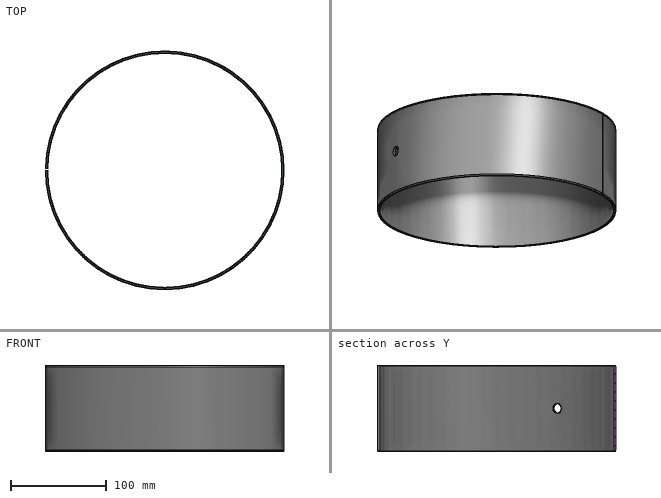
import cadquery as cq

outer_diameter = 250.0
height = 90.0
wall = 2.5
outer_chamfer_height = 1.5
outer_chamfer_depth = 0.5
inner_chamfer = 0.5

slit_width = 2.0

hole_diameter = 10.0
hole_angle = 59.0

outer_radius = outer_diameter / 2
cut_length = outer_radius + wall


def make_band():
    inner_radius = outer_radius - wall
    rim_inner_radius = inner_radius + inner_chamfer
    rim_outer_radius = outer_radius - outer_chamfer_depth
    top = height / 2
    outer_shoulder = top - outer_chamfer_height
    inner_shoulder = top - inner_chamfer
    profile = [
        (inner_radius, -inner_shoulder),
        (rim_inner_radius, -top),
        (rim_outer_radius, -top),
        (outer_radius, -outer_shoulder),
        (outer_radius, outer_shoulder),
        (rim_outer_radius, top),
        (rim_inner_radius, top),
        (inner_radius, inner_shoulder),
    ]
    return cq.Workplane("XZ").polyline(profile).close().revolve(360, (0, 0, 0), (0, 1, 0))


def make_slit():
    slit = cq.Workplane("XY").box(cut_length, slit_width, height)
    return slit.translate((-cut_length / 2, slit_width / 2, 0))


def make_radial_hole():
    drill = cq.Workplane("YZ").circle(hole_diameter / 2).extrude(cut_length)
    return drill.rotate((0, 0, 0), (0, 0, 1), hole_angle)


result = make_band().cut(make_slit()).cut(make_radial_hole())